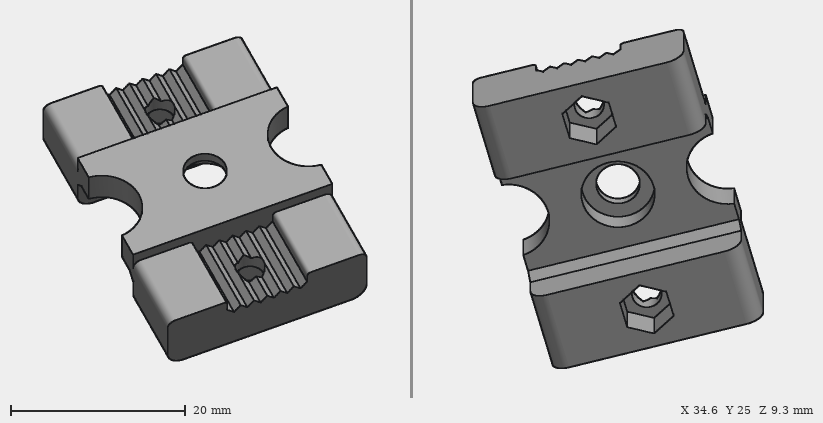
import cadquery as cq

LENGTH = 34.6
WIDTH = 25.0
HEIGHT = 9.3

BRIDGE_WIDTH = 15.4
BRIDGE_THICKNESS = 4.0
BRIDGE_STEP = 1.5
CHANNEL_CHAMFER = 1.0
BLOCK_LENGTH = (LENGTH - BRIDGE_WIDTH) / 2
BLOCK_HEIGHT = HEIGHT - BRIDGE_STEP
BLOCK_CENTER_X = (BRIDGE_WIDTH + BLOCK_LENGTH) / 2
CHANNEL_HEIGHT = HEIGHT - BRIDGE_THICKNESS

BOTTOM_RADIUS = 2.0
TOP_RADIUS = 1.0

GROOVE_WIDTH = 10.0
GROOVE_DEPTH = 1.5
GROOVE_EDGE_RADIUS = 0.5
TOOTH_COUNT = 6
TOOTH_PITCH = GROOVE_WIDTH / TOOTH_COUNT
TOOTH_DEPTH = TOOTH_PITCH / 2

BLOCK_HOLE_DIAMETER = 3.4
NUT_ACROSS_FLATS = 5.5
NUT_POCKET_DEPTH = 4.0
NUT_POCKET_TURN = 30
CENTER_HOLE_DIAMETER = 5.0
CENTER_BORE_LENGTH = 1.3
COUNTERBORE_DIAMETER = 8.4
NOTCH_RADIUS = 4.65
NOTCH_DEPTH = 4.2
NOTCH_CENTER_Y = WIDTH / 2 + NOTCH_RADIUS - NOTCH_DEPTH


def bridge():
    """Raised middle plate, flush with the inner faces of the side blocks."""
    plate = cq.Workplane("XY").box(
        BRIDGE_WIDTH, WIDTH, BRIDGE_THICKNESS, centered=(True, True, False)
    )
    return plate.translate((0, 0, CHANNEL_HEIGHT))


def channel_gusset(side):
    """45 degree corner fill between the bridge underside and one side block."""
    inner_face_x = side * BRIDGE_WIDTH / 2
    return (
        cq.Workplane("XZ")
        .moveTo(inner_face_x, CHANNEL_HEIGHT)
        .lineTo(inner_face_x - side * CHANNEL_CHAMFER, CHANNEL_HEIGHT)
        .lineTo(inner_face_x, CHANNEL_HEIGHT - CHANNEL_CHAMFER)
        .close()
        .extrude(WIDTH / 2, both=True)
    )


def toothed_groove():
    """Cutter for the groove, its floor a row of V-shaped valleys along Y."""
    floor_z = BLOCK_HEIGHT - GROOVE_DEPTH
    start_y = -GROOVE_WIDTH / 2
    profile = cq.Workplane("YZ").moveTo(start_y, BLOCK_HEIGHT).lineTo(start_y, floor_z)
    for tooth in range(TOOTH_COUNT):
        valley_y = start_y + (tooth + 0.5) * TOOTH_PITCH
        profile = profile.lineTo(valley_y, floor_z - TOOTH_DEPTH)
        profile = profile.lineTo(valley_y + TOOTH_PITCH / 2, floor_z)
    profile = profile.lineTo(GROOVE_WIDTH / 2, BLOCK_HEIGHT).close()
    return profile.extrude(BLOCK_LENGTH / 2, both=True)


def side_block():
    """Side block centred on X = 0, with rounded edges and a toothed groove."""
    block = cq.Workplane("XY").box(
        BLOCK_LENGTH, WIDTH, BLOCK_HEIGHT, centered=(True, True, False)
    )
    block = block.edges("|X and <Z").fillet(BOTTOM_RADIUS)
    block = block.edges("|X and >Z").fillet(TOP_RADIUS)
    block = block.cut(toothed_groove())
    near_groove = cq.selectors.BoxSelector(
        (-BLOCK_LENGTH, -GROOVE_WIDTH, 0), (BLOCK_LENGTH, GROOVE_WIDTH, HEIGHT)
    )
    rims = block.faces(">Z").edges("|X").edges(near_groove)
    return rims.fillet(GROOVE_EDGE_RADIUS)


def round_cutter(x, y, diameter, top_z=HEIGHT):
    """Round cutter rising from the base plane to top_z."""
    return cq.Workplane("XY").center(x, y).circle(diameter / 2).extrude(top_z)


def block_hole(x):
    """Through hole of a side block with a hexagonal nut pocket from below."""
    pocket = (
        cq.Workplane("XY")
        .polygon(6, NUT_ACROSS_FLATS, circumscribed=True)
        .extrude(NUT_POCKET_DEPTH)
        .rotate((0, 0, 0), (0, 0, 1), NUT_POCKET_TURN)
        .translate((x, 0, 0))
    )
    return round_cutter(x, 0, BLOCK_HOLE_DIAMETER).union(pocket)


def center_hole():
    """Through hole of the bridge, counterbored from below."""
    counterbore = round_cutter(0, 0, COUNTERBORE_DIAMETER, HEIGHT - CENTER_BORE_LENGTH)
    return round_cutter(0, 0, CENTER_HOLE_DIAMETER).union(counterbore)


result = bridge()
for side in (-1, 1):
    result = result.union(side_block().translate((side * BLOCK_CENTER_X, 0, 0)))
    result = result.union(channel_gusset(side))

result = result.cut(center_hole())
for side in (-1, 1):
    result = result.cut(block_hole(side * BLOCK_CENTER_X))
    result = result.cut(round_cutter(0, side * NOTCH_CENTER_Y, 2 * NOTCH_RADIUS))